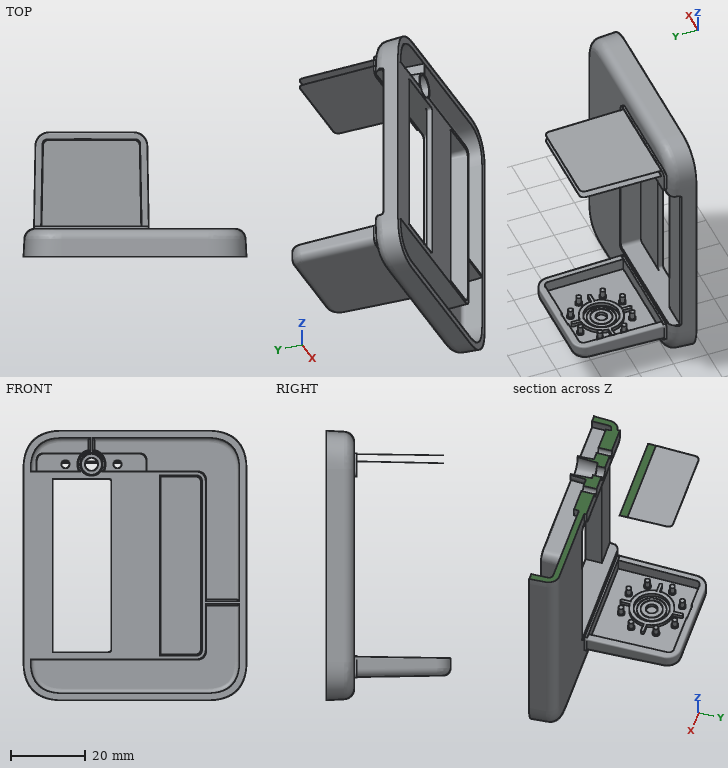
import cadquery as cq
import math

BODY_WIDTH = 60.02
BODY_HEIGHT = 72.52
BODY_DEPTH = 7.6
BODY_CORNER_REACH = 10.3
CORNER_FULLNESS = 0.65
BODY_DRAFT = 3.0
BACK_EDGE_R = 3.0

RIM_WALL = 1.95
CHANNEL_DEPTH = 5.8
CHANNEL_DRAFT = 1.5
CHANNEL_FLOOR_R = 1.1

BLOCK_RIGHT = 18.95
BLOCK_HALF_HEIGHT = 25.15
BLOCK_CORNER_R = 2.2
BLOCK_DRAFT = 2.0

WINDOW_LEFT = -22.1
WINDOW_RIGHT = -6.4
WINDOW_HALF_HEIGHT = 23.25
WINDOW_CORNER_R = 0.7
FRONT_PLATE = 1.57
CAVITY_RIGHT = 5.6
CAVITY_CORNER_R = 1.1
CAVITY_CHAMFER = 0.27
SLOT_FLOOR_Y = 4.63
SLOT_CHAMFER = 0.43
SLOT_CORNER_R = 1.3
CHAMFER_FIT = 0.99

POCKET_LEFT = 6.6
POCKET_WALL = 0.9
POCKET_DEPTH = 5.5
POCKET_CORNER_R = 1.6
POCKET_DRAFT = 4.0

RIB_TIP = 0.55
RIB_ROOT = 1.65
SIDE_RIB_Z = -9.95

BOSS_X = -11.7
BOSS_Z = 27.2
BOSS_R = 3.6
BOSS_BORE_R = 3.1
BOSS_DRAFT = 3.0
BOSS_HOLE_R = 1.73
PIN_HOLE_R = 1.05
PIN_HOLE_OFFSET = 7.0
STEP_LEFT = -26.5
STEP_RIGHT = 3.15
STEP_TOP = 30.2
STEP_CORNER_R = 1.8
STEP_Y = 4.4
STEP_DRAFT = 6.0

PAD_BACK_Y = 8.22
PAD_LEFT = -27.2
PAD_RIGHT = 3.75
PAD_CORNER_R = 1.5
UPPER_PAD_BOTTOM = 23.9
UPPER_PAD_TOP = 30.2
LOWER_PAD_BOTTOM = -30.2
LOWER_PAD_TOP = -24.2

ARM_END_Y = 33.5
ARM_BASE_Y = 7.0
ARM_TAPER = 0.45
ARM_TOP_BASE = -24.45
ARM_TOP_END = -24.85
ARM_BOTTOM_BASE = -30.05
ARM_BOTTOM_END = -29.6
ARM_CORNER_R = 3.8
ARM_BOTTOM_R = 2.15
ARM_RIM_R = 0.45

TRAY_WALL = 1.9
TRAY_END_Y = ARM_END_Y - TRAY_WALL
TRAY_FLOOR_Z = -28.0
TRAY_CORNER_R = 1.4
NOTCH_WIDTH = 4.4
NOTCH_HEIGHT = 1.8
NOTCH_DEPTH = 0.2

SEAT_X = -14.05
SEAT_Y = 21.1
SEAT_HOLE_R = 1.6
SEAT_HOLE_FLOOR_Z = TRAY_FLOOR_Z - 0.4
OUTER_RING_RADII = (4.9, 6.1)
OUTER_RING_HEIGHT = 1.0
HUB_R = 3.0
HUB_HEIGHT = 0.5
HUB_COLLAR_R = 4.0
HUB_COLLAR_HEIGHT = 0.3
LUG_WIDTH = 0.9
LUG_REACH = 8.8
POST_R = 0.7
POST_HEIGHT = 2.5
POST_FOOT_R = 0.95
POST_FOOT_HEIGHT = 0.4
POST_NEAR = 3.5
POST_FAR = 7.55

SHEET_THICKNESS = 0.05
SHEET_INSET = TRAY_WALL + 0.2
SHEET_END_Y = ARM_END_Y - SHEET_INSET
SHEET_HEIGHTS = ((29.97, 29.65), (28.02, 27.52))

OVERCUT = 2.0


def facing_back(y):
    """Workplane at depth y: local x is -X, local y is Z, extrusion goes to +Y."""
    return cq.Workplane(cq.Plane(origin=(0, y, 0), xDir=(-1, 0, 0), normal=(0, 1, 0)))


def box(x0, x1, y0, y1, z0, z1):
    return cq.Workplane("XY").box(x1 - x0, y1 - y0, z1 - z0, centered=False).translate((x0, y0, z0))


def rod(x, z, radius, y0, y1, draft=0):
    return facing_back(y0).center(-x, z).circle(radius).extrude(y1 - y0, taper=draft)


def upright(x, y, radius, z0, height):
    return cq.Workplane("XY", origin=(x, y, z0)).circle(radius).extrude(height)


def soft_outline(y, width, height, reach):
    """Rectangle at depth y with soft corners that start at reach from each sharp corner."""
    w, h = width / 2, height / 2
    tail = reach * (1 - CORNER_FULLNESS)
    return (
        facing_back(y)
        .moveTo(-w + reach, h)
        .lineTo(w - reach, h)
        .bezier([(w - reach, h), (w - tail, h), (w, h - tail), (w, h - reach)])
        .lineTo(w, -h + reach)
        .bezier([(w, -h + reach), (w, -h + tail), (w - tail, -h), (w - reach, -h)])
        .lineTo(-w + reach, -h)
        .bezier([(-w + reach, -h), (-w + tail, -h), (-w, -h + tail), (-w, -h + reach)])
        .lineTo(-w, h - reach)
        .bezier([(-w, h - reach), (-w, h - tail), (-w + tail, h), (-w + reach, h)])
        .close()
    )


def soft_slab(inset, depth, draft):
    """Drafted slab with the body outline moved inwards by inset."""
    wires = []
    for y, shrink in ((0, inset), (depth, inset + depth * math.tan(math.radians(draft)))):
        outline = soft_outline(y, BODY_WIDTH - 2 * shrink, BODY_HEIGHT - 2 * shrink, BODY_CORNER_REACH - shrink)
        wires.append(outline.val())
    return cq.Workplane(cq.Solid.makeLoft(wires, True))


def make_body():
    body = soft_slab(0, BODY_DEPTH, BODY_DRAFT)
    return body.faces(">Y").edges().fillet(BACK_EDGE_R)


def make_block():
    width = BODY_WIDTH / 2 + BLOCK_RIGHT
    sketch = cq.Sketch().rect(width, 2 * BLOCK_HALF_HEIGHT).vertices("<X").fillet(BLOCK_CORNER_R)
    outline = facing_back(0).center(width / 2 - BLOCK_RIGHT, 0).placeSketch(sketch)
    return outline.extrude(CHANNEL_DEPTH, taper=-BLOCK_DRAFT)


def make_channel(block):
    channel = soft_slab(RIM_WALL, CHANNEL_DEPTH, CHANNEL_DRAFT)
    channel = channel.faces(">Y").edges().fillet(CHANNEL_FLOOR_R)
    return channel.cut(block)


def make_step():
    """Raised pad on the channel floor, standing against the block."""
    depth = CHANNEL_DEPTH - STEP_Y
    draft_growth = depth * math.tan(math.radians(STEP_DRAFT))
    width = STEP_RIGHT - STEP_LEFT - 2 * draft_growth
    top = STEP_TOP - draft_growth
    bottom = BLOCK_HALF_HEIGHT - draft_growth
    sketch = cq.Sketch().rect(width, top - bottom).vertices(">Y").fillet(STEP_CORNER_R)
    middle = facing_back(STEP_Y).center(-(STEP_LEFT + STEP_RIGHT) / 2, (top + bottom) / 2)
    return middle.placeSketch(sketch).extrude(depth, taper=-STEP_DRAFT)


def make_rib_profile(plane, centre, start, length):
    """Rib with a narrow tip at Y = 0 and a wider root in the channel floor."""
    root_y = CHANNEL_DEPTH
    return (
        plane.workplane(offset=start)
        .moveTo(centre - RIB_TIP / 2, 0)
        .lineTo(centre + RIB_TIP / 2, 0)
        .lineTo(centre + RIB_ROOT / 2, root_y)
        .lineTo(centre - RIB_ROOT / 2, root_y)
        .close()
        .extrude(length)
    )


def make_ribs():
    rim_middle_x = (BODY_WIDTH - RIM_WALL) / 2
    rim_middle_z = (BODY_HEIGHT - RIM_WALL) / 2
    z_first = cq.Workplane(cq.Plane(origin=(0, 0, 0), xDir=(0, 0, 1), normal=(-1, 0, 0)))
    side_start = BLOCK_RIGHT - POCKET_WALL / 2
    side = make_rib_profile(z_first, SIDE_RIB_Z, -rim_middle_x, rim_middle_x - side_start)
    top_start = BOSS_Z + BOSS_BORE_R
    top = make_rib_profile(cq.Workplane("XY"), BOSS_X, top_start, rim_middle_z - top_start)
    return side.union(top)


def make_front_pocket():
    right = BLOCK_RIGHT - POCKET_WALL
    width = right - POCKET_LEFT
    height = 2 * (BLOCK_HALF_HEIGHT - POCKET_WALL)
    sketch = cq.Sketch().rect(width, height).vertices("<X").fillet(POCKET_CORNER_R)
    return facing_back(0).center(width / 2 - right, 0).placeSketch(sketch).extrude(POCKET_DEPTH, taper=POCKET_DRAFT)


def make_rear_cavity():
    half = WINDOW_HALF_HEIGHT
    deep = box(WINDOW_LEFT, CAVITY_RIGHT, FRONT_PLATE, BODY_DEPTH, -half, half)
    deep = deep.edges("|Y and >X").fillet(CAVITY_CORNER_R)
    slot = box(-BODY_WIDTH, 0, SLOT_FLOOR_Y, PAD_BACK_Y, -half, half)
    mouth = box(
        -BODY_WIDTH,
        CAVITY_RIGHT + CAVITY_CHAMFER,
        BODY_DEPTH - CAVITY_CHAMFER,
        BODY_DEPTH + CAVITY_CHAMFER,
        -half - CAVITY_CHAMFER,
        half + CAVITY_CHAMFER,
    )
    mouth = mouth.edges("|Y and >X").fillet(CAVITY_CORNER_R + CAVITY_CHAMFER)
    mouth = mouth.faces("<Y").edges().chamfer(CAVITY_CHAMFER * CHAMFER_FIT)
    return deep.union(slot).union(mouth)


def make_slot_lead_in():
    """Bevel around the cavity opening in the -X wall."""
    wall_x = -BODY_WIDTH / 2 + (SLOT_FLOOR_Y - SLOT_CHAMFER) * math.tan(math.radians(BODY_DRAFT))
    half = WINDOW_HALF_HEIGHT + SLOT_CHAMFER
    lead_in = box(
        wall_x - OVERCUT,
        wall_x + SLOT_CHAMFER,
        SLOT_FLOOR_Y - SLOT_CHAMFER,
        BODY_DEPTH + OVERCUT,
        -half,
        half,
    )
    lead_in = lead_in.edges("|X and <Y").fillet(SLOT_CORNER_R)
    return lead_in.faces(">X").edges().chamfer(SLOT_CHAMFER * CHAMFER_FIT)


def make_window():
    half = WINDOW_HALF_HEIGHT
    window = box(WINDOW_LEFT, WINDOW_RIGHT, -OVERCUT, BODY_DEPTH, -half, half)
    return window.edges("|Y and >X").fillet(WINDOW_CORNER_R)


def make_pad(bottom, top):
    pad = box(PAD_LEFT, PAD_RIGHT, CHANNEL_DEPTH, PAD_BACK_Y, bottom, top)
    return pad.edges("|Y").fillet(PAD_CORNER_R)


def make_arm_plan(inset, end_y, radius):
    """Plan outline of the arm, offset inwards by inset and ending at end_y."""
    left = PAD_LEFT + inset
    right = PAD_RIGHT - inset
    plan = (
        cq.Workplane("XY")
        .moveTo(left, ARM_BASE_Y)
        .lineTo(right, ARM_BASE_Y)
        .lineTo(right - ARM_TAPER, end_y)
        .lineTo(left + ARM_TAPER, end_y)
        .close()
        .extrude(BODY_HEIGHT)
        .edges("|Z and >Y")
        .fillet(radius)
    )
    return plan.translate((0, 0, -BODY_HEIGHT / 2))


def make_side_profile(points):
    return cq.Workplane("YZ").polyline(points).close().extrude(BODY_WIDTH, both=True)


def make_arm():
    profile = make_side_profile(
        [
            (ARM_BASE_Y, ARM_TOP_BASE),
            (ARM_END_Y, ARM_TOP_END),
            (ARM_END_Y, ARM_BOTTOM_END),
            (ARM_BASE_Y, ARM_BOTTOM_BASE),
        ]
    )
    arm = make_arm_plan(0, ARM_END_Y, ARM_CORNER_R).intersect(profile)
    slack = 0.1
    low = cq.selectors.BoxSelector(
        (-BODY_WIDTH, ARM_BASE_Y + slack, ARM_BOTTOM_BASE - slack),
        (BODY_WIDTH, ARM_END_Y + slack, ARM_BOTTOM_END + slack),
    )
    high = cq.selectors.BoxSelector(
        (-BODY_WIDTH, ARM_BASE_Y + slack, ARM_TOP_END - slack),
        (BODY_WIDTH, ARM_END_Y + slack, ARM_TOP_BASE + slack),
    )
    return arm.edges(low).fillet(ARM_BOTTOM_R).edges(high).fillet(ARM_RIM_R)


def make_tray_hollow():
    hollow = make_arm_plan(TRAY_WALL, TRAY_END_Y, TRAY_CORNER_R)
    hollow = hollow.intersect(box(-BODY_WIDTH, BODY_WIDTH, PAD_BACK_Y, ARM_END_Y, TRAY_FLOOR_Z, 0))
    notch = box(
        SEAT_X - NOTCH_WIDTH / 2,
        SEAT_X + NOTCH_WIDTH / 2,
        TRAY_END_Y - NOTCH_DEPTH,
        TRAY_END_Y + NOTCH_DEPTH,
        ARM_TOP_END - NOTCH_HEIGHT,
        0,
    )
    return hollow.union(notch)


def seat_disc(radius, height):
    return upright(SEAT_X, SEAT_Y, radius, TRAY_FLOOR_Z, height)


def make_seat():
    ring_inner, ring_outer = OUTER_RING_RADII
    ring_bore = seat_disc(ring_inner, OUTER_RING_HEIGHT)
    seat = seat_disc(ring_outer, OUTER_RING_HEIGHT)
    for angle in (0, 90):
        lug = (
            cq.Workplane("XY", origin=(SEAT_X, SEAT_Y, TRAY_FLOOR_Z))
            .transformed(rotate=(0, 0, angle))
            .slot2D(2 * LUG_REACH, LUG_WIDTH)
            .extrude(OUTER_RING_HEIGHT)
        )
        seat = seat.union(lug)
    seat = seat.cut(ring_bore)
    seat = seat.union(seat_disc(HUB_COLLAR_R, HUB_COLLAR_HEIGHT)).union(seat_disc(HUB_R, HUB_HEIGHT))
    for near in (-POST_NEAR, POST_NEAR):
        for far in (-POST_FAR, POST_FAR):
            for dx, dy in ((near, far), (far, near)):
                seat = seat.union(upright(SEAT_X + dx, SEAT_Y + dy, POST_R, TRAY_FLOOR_Z, POST_HEIGHT))
                seat = seat.union(upright(SEAT_X + dx, SEAT_Y + dy, POST_FOOT_R, TRAY_FLOOR_Z, POST_FOOT_HEIGHT))
    return seat


def make_sheet(z_base, z_end):
    root_y = (BODY_DEPTH + PAD_BACK_Y) / 2
    profile = make_side_profile(
        [
            (root_y, z_base),
            (SHEET_END_Y, z_end),
            (SHEET_END_Y, z_end - SHEET_THICKNESS),
            (root_y, z_base - SHEET_THICKNESS),
        ]
    )
    return make_arm_plan(SHEET_INSET, SHEET_END_Y, TRAY_CORNER_R).intersect(profile)


def make_boss_holes():
    holes = rod(BOSS_X, BOSS_Z, BOSS_BORE_R, 0, CHANNEL_DEPTH, BOSS_DRAFT)
    holes = holes.union(rod(BOSS_X, BOSS_Z, BOSS_HOLE_R, 0, PAD_BACK_Y))
    for side in (-1, 1):
        pin_x = BOSS_X + side * PIN_HOLE_OFFSET
        holes = holes.union(rod(pin_x, BOSS_Z, PIN_HOLE_R, 0, PAD_BACK_Y))
    return holes


block = make_block()
result = make_body()
result = result.union(make_pad(UPPER_PAD_BOTTOM, UPPER_PAD_TOP))
result = result.union(make_pad(LOWER_PAD_BOTTOM, LOWER_PAD_TOP))
result = result.cut(make_channel(block)).union(make_step())
result = result.union(make_ribs())
result = result.union(rod(BOSS_X, BOSS_Z, BOSS_R, 0, CHANNEL_DEPTH, -BOSS_DRAFT))
result = result.cut(make_front_pocket()).cut(make_rear_cavity())
result = result.cut(make_slot_lead_in()).cut(make_window())
result = result.cut(make_boss_holes())
result = result.union(make_arm().cut(make_tray_hollow()))
result = result.union(make_seat())
hole_depth = TRAY_FLOOR_Z + HUB_HEIGHT - SEAT_HOLE_FLOOR_Z
result = result.cut(upright(SEAT_X, SEAT_Y, SEAT_HOLE_R, SEAT_HOLE_FLOOR_Z, hole_depth))
for z_base, z_end in SHEET_HEIGHTS:
    result = result.union(make_sheet(z_base, z_end))